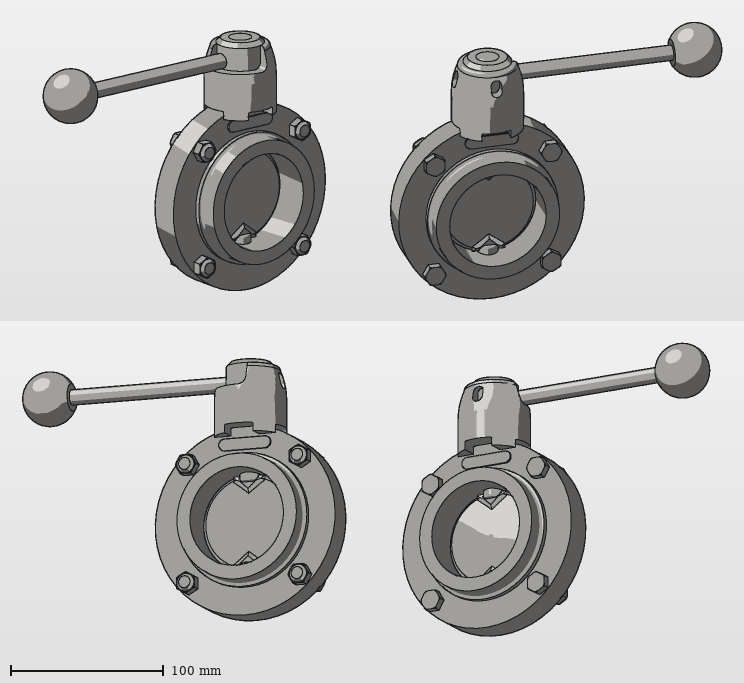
import cadquery as cq
import math


overall_length = 222.6

flange_radius = 126.7 / 2
flange_half_width = 9.8
pipe_radius = 84.2 / 2
bore_radius = 66.0 / 2
pipe_half_length = 50.0 / 2
collar_radius = 89.5 / 2
collar_face_x = 13.1
collar_fillet = 2.0

pad_length = 36.3
pad_height = 8.0
pad_center_z = 51.5
pad_half_width = 11.1

bolt_offset = 39.6
bolt_corner_diameter = 14.7
bolt_bevel = 0.7
head_face_x = 15.1
nut_face_x = 16.0
bolt_tip_x = 18.0
bolt_shank_radius = 6.0
bolt_tip_radius = 4.0

disc_radius = 61.0 / 2
disc_rim_half_width = 2.7
disc_center_half_width = 4.5
disc_flat_radius = 4.2 / 2
seat_half_width = 0.2
hub_radius = 7.1
hub_inner_z = 27.0
hub_nose_round = 1.8
hub_tip_z = 17.8
hub_shoulder_z = 27.8
hub_shoulder_y = 11.1
hub_outer_z = 31.2
hub_flare_foot_x = 2.7
hub_flare_height = 2.0
hub_flare_taper = 60

housing_radius = 23.8
housing_bottom_z = 57.2
housing_straight_top_z = 81.7
housing_shoulder_radius = 19.8
housing_shoulder_z = 101.5
housing_rim_radius = 17.1
housing_top_z = 104.5
notch_width = 20
notch_top_z = 62.8
notch_corner_round = 1.1
window_width = 7.3
window_height = 11.0

hub_cap_radius = 16.0
cap_flat_radius = 13.1
cap_top_z = 107.5
dome_radius = 7.5
dome_top_z = 109

lever_z = 94.0
lever_radius = 5.1
ball_radius = 18.0
ball_center_y = flange_radius + ball_radius - overall_length
ball_flat_depth = 15.5


def revolve_about_x(profile):
    """Turn a half profile, drawn as (x, radius) in the XY plane, about the pipe axis."""
    return profile.close().revolve(360, (0, 0, 0), (1, 0, 0))


def revolve_about_z(profile):
    """Turn a half profile, drawn as (radius, z) in the XZ plane, about the stem axis."""
    return profile.close().revolve(360, (0, 0, 0), (0, 1, 0))


def make_body():
    """Flange with a collar and pipe end on each side, and the through bore."""
    fillet_mid = collar_fillet * (1 - math.sqrt(0.5))
    fillet_end_x = collar_face_x + collar_fillet
    half = (
        cq.Workplane("XY")
        .moveTo(0, bore_radius)
        .lineTo(0, flange_radius)
        .lineTo(flange_half_width, flange_radius)
        .lineTo(flange_half_width, collar_radius)
        .lineTo(collar_face_x, collar_radius)
        .lineTo(collar_face_x, pipe_radius + collar_fillet)
        .threePointArc(
            (collar_face_x + fillet_mid, pipe_radius + fillet_mid), (fillet_end_x, pipe_radius)
        )
        .lineTo(pipe_half_length, pipe_radius)
        .lineTo(pipe_half_length, bore_radius)
    )
    half = revolve_about_x(half)
    return half.union(half.mirror("YZ"))


def make_pads():
    """Raised obround on both flange faces, made as one bar through the flange."""
    return (
        cq.Workplane("YZ")
        .center(0, pad_center_z)
        .slot2D(pad_length, pad_height)
        .extrude(pad_half_width, both=True)
    )


def make_bolt():
    """One bolt along X on the pipe axis, with its head at -X and its nut at +X."""
    envelope_radius = bolt_corner_diameter / 2 + bolt_bevel
    hexagon = (
        cq.Workplane("YZ", origin=(-head_face_x, 0, 0))
        .polygon(6, bolt_corner_diameter)
        .extrude(head_face_x + nut_face_x)
        .rotate((0, 0, 0), (1, 0, 0), 90)
    )
    bevels = (
        cq.Workplane("YZ", origin=(-head_face_x, 0, 0))
        .circle(envelope_radius)
        .extrude(head_face_x + nut_face_x)
        .faces("<X or >X")
        .chamfer(2 * bolt_bevel)
    )
    end = revolve_about_x(
        cq.Workplane("XY")
        .moveTo(0, 0)
        .lineTo(0, bolt_shank_radius)
        .lineTo(nut_face_x, bolt_shank_radius)
        .lineTo(bolt_tip_x, bolt_tip_radius)
        .lineTo(bolt_tip_x, 0)
    )
    return hexagon.intersect(bevels).union(end)


def make_bolts():
    """Four bolts on a circle, each turned with its place on it."""
    first = make_bolt().translate((0, bolt_offset, bolt_offset))
    bolts = first
    for quarter in range(1, 4):
        bolts = bolts.union(first.rotate((0, 0, 0), (1, 0, 0), 90 * quarter))
    return bolts


def make_disc():
    """Closed disc, thicker at its middle, whose bevelled edge meets the seat in the bore."""
    half = revolve_about_x(
        cq.Workplane("XY")
        .moveTo(0, 0)
        .lineTo(disc_center_half_width, 0)
        .lineTo(disc_center_half_width, disc_flat_radius)
        .lineTo(disc_rim_half_width, disc_radius)
        .lineTo(seat_half_width, bore_radius)
        .lineTo(0, bore_radius)
    )
    return half.union(half.mirror("YZ"))


def make_disc_hubs():
    """Stem hubs at the top and bottom of the disc, each flaring into the disc faces."""
    stem = (
        cq.Workplane("XY", origin=(0, 0, hub_inner_z))
        .circle(hub_radius)
        .extrude(bore_radius - hub_inner_z)
        .faces("<Z")
        .fillet(hub_nose_round)
    )
    flare = (
        cq.Workplane("YZ", origin=(hub_flare_foot_x, 0, 0))
        .moveTo(0, hub_tip_z)
        .lineTo(hub_shoulder_y, hub_shoulder_z)
        .lineTo(hub_shoulder_y, hub_outer_z)
        .lineTo(-hub_shoulder_y, hub_outer_z)
        .lineTo(-hub_shoulder_y, hub_shoulder_z)
        .close()
        .extrude(hub_flare_height, taper=hub_flare_taper)
    )
    top = stem.union(flare).union(flare.mirror("YZ"))
    return top.union(top.mirror("XY"))


def make_housing():
    """Bell-shaped housing with index notches at its foot, windows and the lever's quarter slot."""
    inward = housing_radius - housing_shoulder_radius
    rise = housing_shoulder_z - housing_straight_top_z
    bell_radius = (inward**2 + rise**2) / (2 * inward)
    mid_angle = math.asin(rise / bell_radius) / 2
    bell_mid = (
        housing_radius - bell_radius * (1 - math.cos(mid_angle)),
        housing_straight_top_z + bell_radius * math.sin(mid_angle),
    )
    rim_bulge = math.sqrt(0.5)
    rim_mid = (
        housing_rim_radius + rim_bulge * (housing_shoulder_radius - housing_rim_radius),
        housing_shoulder_z + rim_bulge * (housing_top_z - housing_shoulder_z),
    )
    housing = revolve_about_z(
        cq.Workplane("XZ")
        .moveTo(0, housing_bottom_z)
        .lineTo(housing_radius, housing_bottom_z)
        .lineTo(housing_radius, housing_straight_top_z)
        .threePointArc(bell_mid, (housing_shoulder_radius, housing_shoulder_z))
        .threePointArc(rim_mid, (housing_rim_radius, housing_top_z))
        .lineTo(0, housing_top_z)
    )
    return housing.cut(make_notches()).cut(make_windows()).cut(make_lever_slot())


def outside_core(cutter):
    """Keep a cutter clear of the housing core below the cap."""
    core = (
        cq.Workplane("XY", origin=(0, 0, housing_bottom_z))
        .circle(hub_cap_radius)
        .extrude(housing_top_z - housing_bottom_z)
    )
    return cutter.cut(core)


def make_notches():
    """Crossed slots at the foot of the housing; the flange sits in the one along Y."""
    height = notch_top_z - housing_bottom_z
    bar = cq.Workplane("XY", origin=(0, 0, housing_bottom_z))
    along_x = bar.rect(2 * housing_radius, notch_width).extrude(height)
    along_x = along_x.edges("|X and >Z").fillet(notch_corner_round)
    return along_x.union(along_x.rotate((0, 0, 0), (0, 0, 1), 90))


def make_windows():
    """Slotted windows on the -X and +Y sides."""
    window = (
        cq.Workplane("YZ")
        .center(0, lever_z)
        .slot2D(window_height, window_width, 90)
        .extrude(-housing_radius)
    )
    return outside_core(window.union(window.rotate((0, 0, 0), (0, 0, 1), -90)))


def make_lever_slot():
    """Open-topped quarter slot from -Y to +X, with the lever's round shape at both ends."""
    rise = housing_top_z - lever_z
    sector = cq.Workplane("XY", origin=(0, 0, lever_z - lever_radius)).rect(
        housing_radius, -housing_radius, centered=False
    )
    sector = sector.extrude(rise + lever_radius)
    end = cq.Workplane("YZ", origin=(0, 0, lever_z)).circle(lever_radius).extrude(housing_radius)
    end = end.union(
        cq.Workplane("XY", origin=(housing_radius / 2, 0, lever_z))
        .rect(housing_radius, 2 * lever_radius)
        .extrude(rise)
    )
    return outside_core(sector.union(end).union(end.rotate((0, 0, 0), (0, 0, 1), -90)))


def make_cap():
    """Bevelled cap with a shallow dome, standing on the housing core."""
    dome_height = dome_top_z - cap_top_z
    sphere_radius = (dome_radius**2 + dome_height**2) / (2 * dome_height)
    half_angle = math.asin(dome_radius / sphere_radius) / 2
    dome_mid = (
        sphere_radius * math.sin(half_angle),
        dome_top_z - sphere_radius * (1 - math.cos(half_angle)),
    )
    return revolve_about_z(
        cq.Workplane("XZ")
        .moveTo(0, lever_z)
        .lineTo(hub_cap_radius, lever_z)
        .lineTo(hub_cap_radius, housing_top_z)
        .lineTo(cap_flat_radius, cap_top_z)
        .lineTo(dome_radius, cap_top_z)
        .threePointArc(dome_mid, (0, dome_top_z))
    )


def make_lever():
    """Straight lever rod ending in a ball that is cut flat where the rod enters."""
    rod = (
        cq.Workplane("XZ", origin=(0, 0, lever_z)).circle(lever_radius).extrude(-ball_center_y)
    )
    ball = cq.Workplane("XY").sphere(ball_radius)
    keep = cq.Workplane("XY", origin=(0, ball_flat_depth - ball_radius, 0)).box(
        2 * ball_radius, 2 * ball_radius, 2 * ball_radius
    )
    return rod.union(ball.intersect(keep).translate((0, ball_center_y, lever_z)))


result = make_body()
for piece in (
    make_pads(),
    make_bolts(),
    make_disc(),
    make_disc_hubs(),
    make_housing(),
    make_cap(),
    make_lever(),
):
    result = result.union(piece)